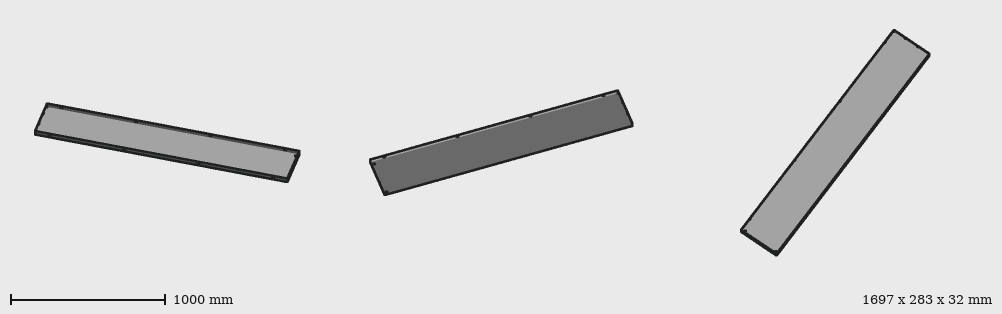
import cadquery as cq

length = 1697.0
width = 283.0
height = 32.0
sheet = 1.0
bend_radius = 2.0

slot_length = 14.0
slot_height = 7.0
slot_drop = 12.0
side_slot_pitch = 500.0
side_slot_count = 4
end_slot_pitch = 102.0
end_slot_count = 2

floor_hole_diameter = 7.0
floor_hole_inset = 20.0
floor_hole_spacing = 245.0

slot_z = height - slot_drop


def tray():
    """Rounded outer shell, hollowed from the top with a matching inner bend."""
    outer = (
        cq.Workplane("XY")
        .box(length, width, height, centered=(True, True, False))
        .faces("<Z").edges().fillet(bend_radius)
    )
    cavity = (
        cq.Workplane("XY")
        .workplane(offset=sheet)
        .box(length - 2 * sheet, width - 2 * sheet, height, centered=(True, True, False))
        .faces("<Z").edges().fillet(bend_radius - sheet)
    )
    return outer.cut(cavity)


def slot_row(plane, pitch, count, span):
    """Row of horizontal slots running right through both opposite flanges."""
    return (
        cq.Workplane(plane)
        .center(0, slot_z)
        .rarray(pitch, 17, count, 1)
        .slot2D(slot_length, slot_height)
        .extrude(span, both=True)
    )


floor_holes = (
    cq.Workplane("XY")
    .center(length / 2 - floor_hole_inset, 0)
    .rarray(17, floor_hole_spacing, 1, 2)
    .circle(floor_hole_diameter / 2)
    .extrude(height)
)

result = (
    tray()
    .cut(slot_row("XZ", side_slot_pitch, side_slot_count, width))
    .cut(slot_row("YZ", end_slot_pitch, end_slot_count, length))
    .cut(floor_holes)
)